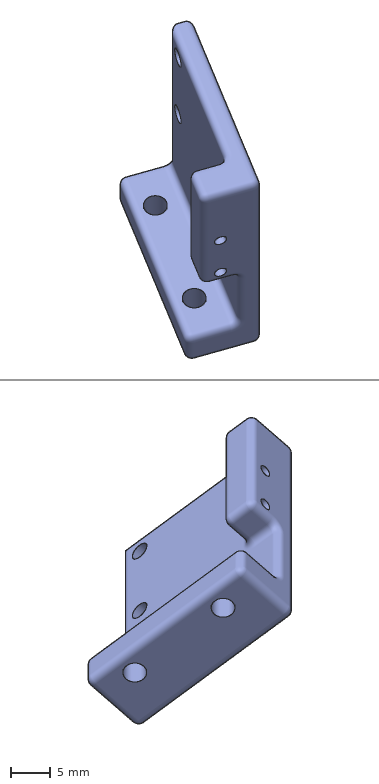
import cadquery as cq

width = 27.0
depth = 10.0
height = 35.0

plate_thickness = 3.0
foot_height = 5.0
block_width = 5.0
block_depth = 8.0
block_height = 19.0
edge_radius = 1.0

plate_hole_diameter = 2.5
plate_hole_inset = 3.0
plate_hole_drops = (3.0, 15.5)

foot_hole_diameter = 3.0
foot_hole_setback = 3.0
foot_hole_positions = (5.85, 21.07)

pin_hole_diameter = 1.6
pin_hole_offset = 5.5
pin_hole_drops = (10.0, 17.0)


def corner_box(x, z, size_x, size_y, size_z):
    """Box with its back face on Y = 0 and its lower left corner at (x, z)."""
    return cq.Workplane("XY").box(size_x, size_y, size_z, centered=False).translate((x, -size_y, z))


def hole(start, direction, diameter, length):
    """Cylinder that cuts a round hole from a start point along a direction."""
    return cq.Solid.makeCylinder(diameter / 2, length, cq.Vector(*start), cq.Vector(*direction))


plate = corner_box(0, 0, width, plate_thickness, height)
foot = corner_box(0, 0, width, depth, foot_height)
block = corner_box(width - block_width, height - block_height, block_width, block_depth, block_height)
body = plate.union(foot).union(block).clean()

body = body.edges("not (|Y and <X and >Z)").fillet(edge_radius)

for drop in plate_hole_drops:
    start = (plate_hole_inset, 0, height - drop)
    body = body.cut(hole(start, (0, -1, 0), plate_hole_diameter, plate_thickness))

for x in foot_hole_positions:
    start = (x, foot_hole_setback - depth, 0)
    body = body.cut(hole(start, (0, 0, 1), foot_hole_diameter, foot_height))

for drop in pin_hole_drops:
    start = (width - block_width, -pin_hole_offset, height - drop)
    body = body.cut(hole(start, (1, 0, 0), pin_hole_diameter, block_width))

result = body